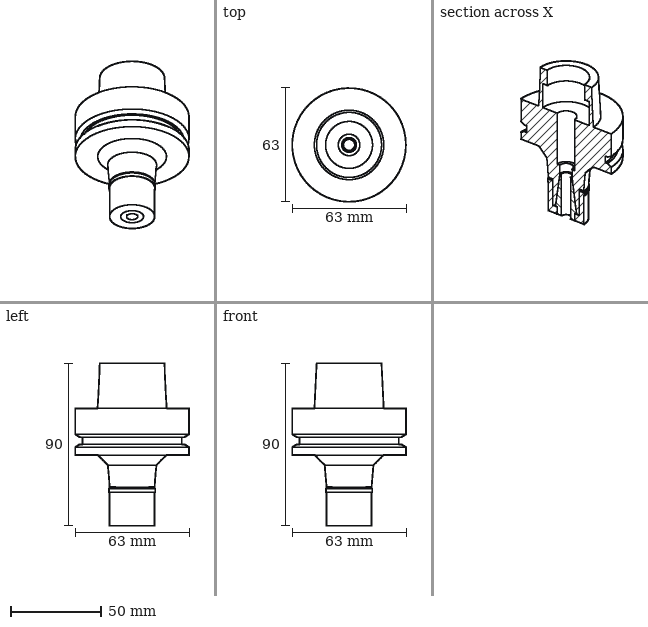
import cadquery as cq
import math

total_height = 90
flange_top = 65.0
flange_bottom = 39.1
cone_bottom = 33.6
shoulder_z = 21.3
nut_height = 20.5
nut_floor = 4.5

taper_top_diameter = 36
taper_base_diameter = 38.4
flange_diameter = 63
groove_diameter = 55.1
groove_top = 49.0
groove_bottom = 45.1
groove_chamfer_height = 1.5
groove_chamfer_width = 2.6
shank_bottom_diameter = 25.0
shank_top_diameter = 27.1
cone_angle = 45
thread_diameter = 18.6

bore_diameter = 26.0
bore_depth = 10.0
undercut_diameter = 31.95
cavity_floor = flange_top
passage_diameter = 11.9
passage_bottom = 32.4

collet_top = 27
collet_top_diameter = 8.1
collet_half_angle = 8
collet_nose_diameter = 12.6
collet_hole_diameter = 6.2

nut_diameter = 25.0
collar_diameter = 25.65
collar_height = 2.0

collet_cone_height = collet_top - nut_floor
socket_mouth_diameter = collet_top_diameter + 2 * collet_cone_height * math.tan(math.radians(collet_half_angle))


def cylinder(diameter, bottom, top):
    return cq.Workplane("XY").workplane(offset=bottom).circle(diameter / 2).extrude(top - bottom)


def make_collet_cone():
    """Solid cone that is both the collet's body and the holder's socket."""
    return (
        cq.Workplane("XY", origin=(0, 0, nut_floor))
        .circle(socket_mouth_diameter / 2)
        .workplane(offset=collet_cone_height)
        .circle(collet_top_diameter / 2)
        .loft(ruled=True)
    )


def make_holder_outside():
    """Turned outline: threaded end, conical shank, grooved flange and spindle taper."""
    thread_radius = thread_diameter / 2
    shank_bottom_radius = shank_bottom_diameter / 2
    shank_top_radius = shank_top_diameter / 2
    cone_height = flange_bottom - cone_bottom
    cone_top_radius = shank_top_radius + cone_height * math.tan(math.radians(cone_angle))
    flange_radius = flange_diameter / 2
    groove_radius = groove_diameter / 2
    lip_radius = flange_radius - groove_chamfer_width

    return (
        cq.Workplane("XZ")
        .moveTo(0, nut_floor)
        .lineTo(thread_radius, nut_floor)
        .lineTo(thread_radius, shoulder_z)
        .lineTo(shank_bottom_radius, shoulder_z)
        .lineTo(shank_top_radius, cone_bottom)
        .lineTo(cone_top_radius, flange_bottom)
        .lineTo(flange_radius, flange_bottom)
        .lineTo(flange_radius, groove_bottom - groove_chamfer_height)
        .lineTo(lip_radius, groove_bottom)
        .lineTo(groove_radius, groove_bottom)
        .lineTo(groove_radius, groove_top)
        .lineTo(lip_radius, groove_top)
        .lineTo(flange_radius, groove_top + groove_chamfer_height)
        .lineTo(flange_radius, flange_top)
        .lineTo(taper_base_diameter / 2, flange_top)
        .lineTo(taper_top_diameter / 2, total_height)
        .lineTo(0, total_height)
        .close()
        .revolve(360, (0, 0, 0), (0, 1, 0))
    )


def make_holder():
    undercut_top = total_height - bore_depth
    entry_bore = cylinder(bore_diameter, undercut_top, total_height)
    undercut = cylinder(undercut_diameter, cavity_floor, undercut_top)
    passage = cylinder(passage_diameter, passage_bottom, cavity_floor)
    collet_stop_bore = cylinder(collet_top_diameter, collet_top, passage_bottom)
    return (
        make_holder_outside()
        .cut(entry_bore)
        .cut(undercut)
        .cut(passage)
        .cut(collet_stop_bore)
        .cut(make_collet_cone())
    )


def make_collet():
    """Cone clamped in the holder, with a nose that fills the nut's front opening."""
    nose = cylinder(collet_nose_diameter, 0, nut_floor)
    tool_hole = cylinder(collet_hole_diameter, 0, collet_top)
    return make_collet_cone().union(nose).cut(tool_hole)


def make_nut():
    """Collared cap around the holder's thread, with a floor that supports the collet."""
    barrel = cylinder(nut_diameter, 0, nut_height)
    collar = cylinder(collar_diameter, nut_height - collar_height, nut_height)
    thread_bore = cylinder(thread_diameter, nut_floor, nut_height)
    nose_opening = cylinder(collet_nose_diameter, 0, nut_floor)
    return barrel.union(collar).cut(thread_bore).cut(nose_opening)


holder = make_holder()
collet = make_collet()
nut = make_nut()

result = cq.Compound.makeCompound([holder.val(), collet.val(), nut.val()])